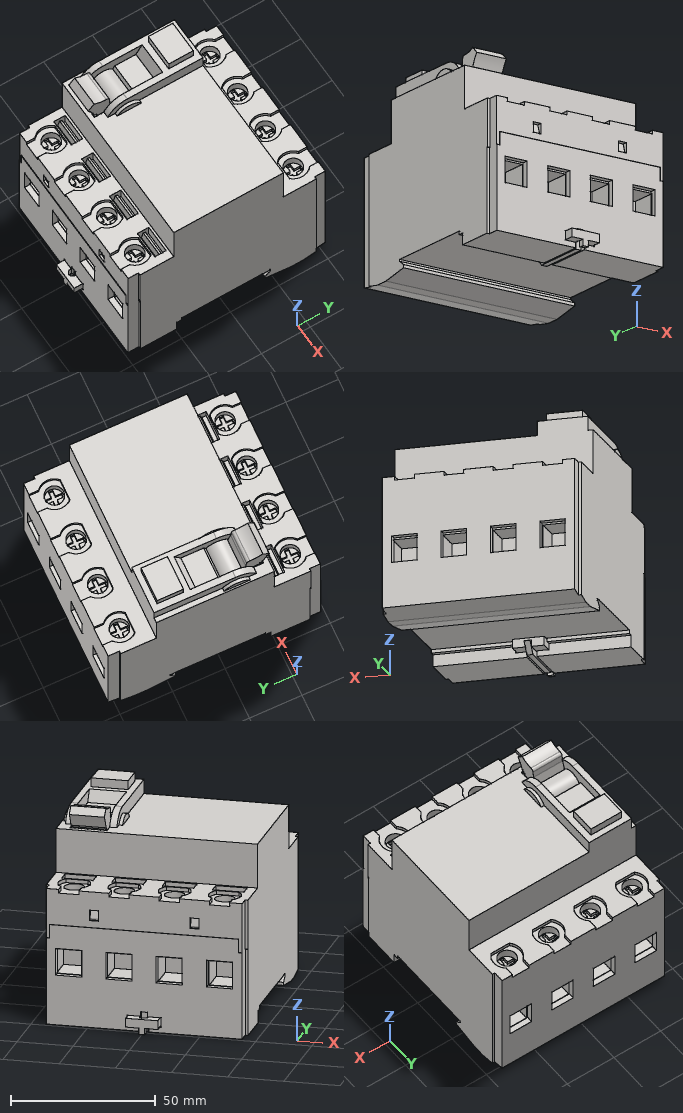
import cadquery as cq
import math


width = 71.8
depth = 81.0
shoulder_height = 49.4
block_top = 65.3
block_front = 18.2
block_back = 63.1
split_height = 31.5
upper_setback = 0.2
tab_height = 36.4
tab_width = 67.3
side_step = 1.0
step_back_length = 4.3
step_front_upper = 4.3
step_front_lower = 4.6

rail_top = 5.6
rail_front = 19.5
rail_front_ledge = 21.5
ledge_height = 4.3
hook_tip = 55.5
hook_root = 57.9
heel_height = 1.85
hook_lip = 1.2
hook_relief = 0.7
foot_flat_start = 66.25
foot_flat_end = 71.3

pole_count = 4
pole_pitch = 17.9
pole_positions = [(i - (pole_count - 1) / 2) * pole_pitch for i in range(pole_count)]
screw_inset = 8.0
recess_radius = 5.65
recess_depth = 1.35
recess_flat = 4.05
channel_width = 7.2
screw_hole_radius = 3.55
screw_head_depth = 3.4
cross_length = 6.1
cross_width = 1.5
cross_depth = 1.3

entry_width = 9.2
entry_bottom = 18.15
entry_height = 9.6
entry_lip = 2.4
entry_depth = 12.7
chamber_top_drop = 0.7
chamber_floor_drop = 0.2
chamber_pitch = 18.15

slot_width = 11.1
slot_front = 12.7
slot_back = 17.3
slot_depth = 4.2
ridge_front = 14.3
ridge_crest = 15.0
ridge_back = 15.95
ridge_crest_depth = 1.7
ridge_edge_depth = 2.0

pocket_width = 3.2
pocket_bottom = 38.9
pocket_height = 3.8
pocket_sill = 0.4
pocket_depth = 2.1

switch_x = -24.8
switch_width = 18.3
switch_top = 70.5
axle_y = 32.1
axle_z = 61.7
hood_radius = switch_top - axle_z
axle_radius = 6.2
axle_length = 20.9
window_width = 13.2
window_back = 48.2
window_floor_back = 45.7
window_floor = 66.3
window_floor_front = 37.0
window_front = 20.3
drum_radius = 5.2
drum_reach = 4.05
front_well_depth = 0.7
button_front = 50.7
button_back = 60.8
overall_height = 73.7
lever_width = 12.5
lever_base_front = 21.5
neck_bottom = (26.8, 68.5)
neck_top = (26.6, 71.2)
crown_round = (26.2, 71.8)
crown = (25.3, 72.1)
thumb_hollow = (23.1, 72.3)
lever_peak = (20.3, 73.4)
finger_tip = (17.9, 70.9)
finger_hollow = (19.5, 68.2)
finger_root = (20.3, 66.25)
drum_edge_z = axle_z + math.sqrt(drum_radius**2 - drum_reach**2)

clip_reach = 3.4
clip_width = 11.5
clip_bottom = 2.4
clip_back = 23.8
clip_stem_width = 2.2
clip_gap = 0.3
stem_gap = 0.7
latch_tip = 25.3
latch_tip_height = 4.1
latch_toe = 21.95
latch_rise = 0.6
clip_hole_radius = 1.4
clip_hole_y = -0.4
notch_width = 2.45
notch_depth = 1.1
notch_top = 7.2


def box(x_size, y_range, z_range, x_center=0.0):
    """Block centred on x_center, spanning the given Y and Z ranges."""
    y0, y1 = y_range
    z0, z1 = z_range
    return cq.Workplane("XY").box(x_size, y1 - y0, z1 - z0, centered=(True, False, False)).translate(
        (x_center, y0, z0)
    )


def prism(outline, x_size, x_center=0.0):
    """Extrude a closed YZ outline along X, centred on x_center."""
    return outline.extrude(x_size / 2, both=True).translate((x_center, 0, 0))


def profile(points):
    """Closed polygon in the YZ plane."""
    return cq.Workplane("YZ").polyline(points).close()


def bar_along_x(radius, length, y, z, x_center):
    """Round bar parallel to X."""
    return prism(cq.Workplane("YZ").center(y, z).circle(radius), length, x_center)


def housing():
    outline = (
        cq.Workplane("YZ")
        .moveTo(0, 0)
        .lineTo(0, shoulder_height)
        .lineTo(block_front, shoulder_height)
        .lineTo(block_front, block_top)
        .lineTo(block_back, block_top)
        .lineTo(block_back, shoulder_height)
        .lineTo(depth, shoulder_height)
        .lineTo(depth, heel_height)
        .lineTo(foot_flat_end, 0)
        .lineTo(foot_flat_start, 0)
        .lineTo(hook_tip, heel_height)
        .lineTo(hook_tip, heel_height + hook_lip)
        .lineTo(hook_root, rail_top - hook_relief)
        .lineTo(hook_root, rail_top)
        .lineTo(rail_front_ledge, rail_top)
        .lineTo(rail_front_ledge, ledge_height)
        .lineTo(rail_front, ledge_height)
        .lineTo(rail_front, 0)
        .close()
    )
    body = prism(outline, width)

    setback = box(width, (0, upper_setback), (split_height, shoulder_height))
    setback = setback.cut(box(tab_width, (0, upper_setback), (split_height, tab_height)))
    body = body.cut(setback)

    for side in (-1, 1):
        x = side * (width - side_step) / 2
        body = body.cut(box(side_step, (0, step_front_lower), (0, split_height), x))
        body = body.cut(box(side_step, (0, step_front_upper), (split_height, shoulder_height), x))
        body = body.cut(box(side_step, (depth - step_back_length, depth), (0, shoulder_height), x))
    return body


def terminal_cut(x):
    """Screw recess with its channel to the front face, screw hole and cross slot."""
    recess_floor = shoulder_height - recess_depth
    head = recess_floor - screw_head_depth
    plane = cq.Workplane("XY")
    cut = plane.circle(recess_radius).extrude(recess_depth).translate((x, screw_inset, recess_floor))
    cut = cut.intersect(
        box(2 * recess_radius, (0, screw_inset + recess_flat), (recess_floor, shoulder_height), x)
    )
    cut = cut.union(box(channel_width, (0, screw_inset), (recess_floor, shoulder_height), x))
    hole = plane.circle(screw_hole_radius).extrude(screw_head_depth)
    cross = plane.rect(cross_length, cross_width).extrude(-cross_depth)
    cross = cross.union(plane.rect(cross_width, cross_length).extrude(-cross_depth))
    return cut.union(hole.union(cross).translate((x, screw_inset, head)))


def wire_entry_cut(x):
    """Square wire opening with a chamber behind it, set lower and further out."""
    z_top = entry_bottom + entry_height
    mouth = box(entry_width, (0, entry_lip), (entry_bottom, z_top), x)
    chamber = box(
        entry_width,
        (entry_lip, entry_depth),
        (entry_bottom - chamber_floor_drop, z_top - chamber_top_drop),
        x * chamber_pitch / pole_pitch,
    )
    return mouth.union(chamber)


def label_slot_cut(x):
    """Rectangular slot with a low ridge left standing across its floor."""
    floor = shoulder_height - slot_depth
    slot = box(slot_width, (slot_front, slot_back), (floor, shoulder_height), x)
    ridge = profile(
        [
            (ridge_front, floor),
            (ridge_crest, shoulder_height - ridge_crest_depth),
            (ridge_back, shoulder_height - ridge_edge_depth),
            (ridge_back, floor),
        ]
    )
    return slot.cut(prism(ridge, slot_width, x))


def catch_pocket_cut(x):
    """Small pocket with a low sill and a ramp rising towards the back."""
    top = pocket_bottom + pocket_height
    ramp = profile(
        [
            (0, pocket_bottom),
            (pocket_depth / 2, pocket_bottom),
            (pocket_depth / 2, pocket_bottom + pocket_sill),
            (pocket_depth, top),
            (0, top),
        ]
    )
    return prism(ramp, pocket_width, x)


def mirror_to_back(cut):
    """Copy a front-row cut to the back row."""
    return cut.mirror("XZ", (0, depth / 2, 0))


def switch_hood():
    """Raised frame around the lever, rounded about the axle at its front."""
    hood = box(switch_width, (axle_y, block_back), (axle_z, switch_top), switch_x)
    hood = hood.union(bar_along_x(hood_radius, switch_width, axle_y, axle_z, switch_x))
    return hood.union(bar_along_x(axle_radius, axle_length, axle_y, axle_z, switch_x))


def switch_window_cut():
    """Opening the lever swings in: sloped back, shallow floor and a well for the drum."""
    well_floor = block_top - front_well_depth
    outline = profile(
        [
            (window_back, switch_top),
            (window_floor_back, window_floor),
            (window_floor_front, window_floor),
            (axle_y + drum_reach, drum_edge_z),
            (axle_y + drum_reach, well_floor),
            (window_front, well_floor),
            (window_front, switch_top),
        ]
    )
    return prism(outline, window_width, switch_x)


def lever():
    outline = (
        cq.Workplane("YZ")
        .moveTo(axle_y - drum_reach, axle_z)
        .lineTo(axle_y - drum_reach, drum_edge_z)
        .lineTo(*neck_bottom)
        .lineTo(*neck_top)
        .threePointArc(crown_round, crown)
        .threePointArc(thumb_hollow, lever_peak)
        .lineTo(*finger_tip)
        .threePointArc(finger_hollow, finger_root)
        .lineTo(lever_base_front, block_top)
        .lineTo(lever_base_front, axle_z)
        .close()
    )
    handle = prism(outline, lever_width, switch_x)
    return handle.union(bar_along_x(drum_radius, window_width, axle_y, axle_z, switch_x))


def clip_slot_cut():
    """T-shaped slide way for the rail clip, open at the front and at the rail."""
    head = box(clip_width + 2 * clip_gap, (0, rail_front_ledge), (clip_bottom - clip_gap, rail_top))
    stem = box(clip_stem_width + 2 * stem_gap, (0, rail_front_ledge), (0, clip_bottom))
    return head.union(stem)


def rail_clip():
    """Sliding T-shaped clip with a wedge latch at the rail end."""
    head = box(clip_width, (-clip_reach, clip_back), (clip_bottom, rail_top))
    stem = box(clip_stem_width, (-clip_reach, latch_toe), (0, clip_bottom))
    latch = profile(
        [
            (rail_front, 0),
            (latch_toe, 0),
            (latch_tip, latch_tip_height),
            (clip_back, latch_tip_height + latch_rise),
            (rail_front, latch_tip_height + latch_rise),
        ]
    )
    return head.union(stem).union(prism(latch, clip_stem_width))


def clip_hole_cut():
    """Tool hole through the protruding clip, continued as a flat-backed notch in the front face."""
    hole = cq.Workplane("XY").center(0, clip_hole_y).circle(clip_hole_radius).extrude(rail_top)
    hole = hole.intersect(box(clip_width, (-clip_reach, 0), (0, rail_top)))
    return hole.union(box(notch_width, (0, notch_depth), (0, notch_top)))


body = housing()
for pole_x in pole_positions:
    body = body.cut(terminal_cut(pole_x))
    body = body.cut(mirror_to_back(terminal_cut(pole_x)))
    body = body.cut(wire_entry_cut(pole_x))
    body = body.cut(mirror_to_back(wire_entry_cut(pole_x)))
    body = body.cut(label_slot_cut(pole_x))
for pocket_x in (-pole_pitch, pole_pitch):
    body = body.cut(catch_pocket_cut(pocket_x))

body = body.union(switch_hood()).cut(switch_window_cut()).union(lever())
body = body.union(box(window_width, (button_front, button_back), (switch_top, overall_height), switch_x))

result = body.cut(clip_slot_cut()).union(rail_clip()).cut(clip_hole_cut())